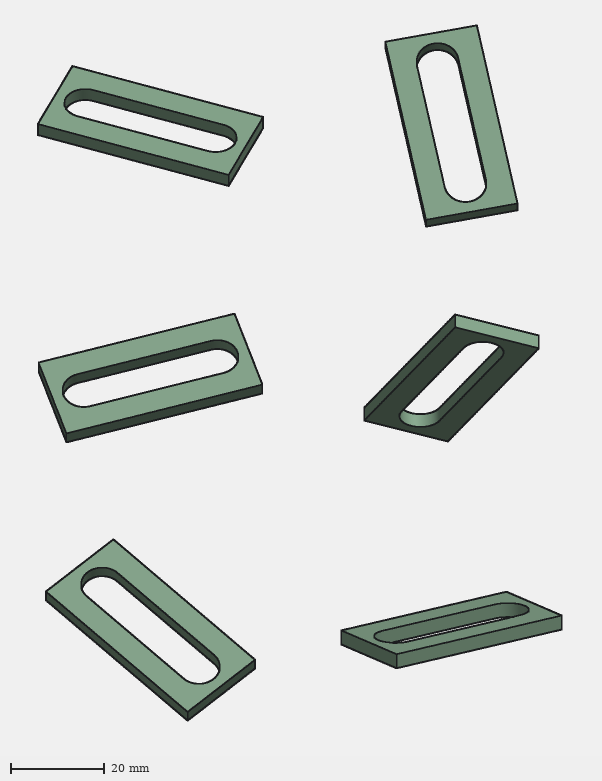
import cadquery as cq

plate_length = 44.0
plate_width = 20.0
plate_thickness = 3.2

slot_width = 9.0
slot_center_distance = 30.0
slot_length = slot_center_distance + slot_width


def make_plate():
    """Flat rectangular plate centred on the origin in X and Y, resting on Z = 0."""
    return cq.Workplane("XY").box(
        plate_length, plate_width, plate_thickness, centered=(True, True, False)
    )


def cut_slot(plate):
    """Cut the round-ended slot along X through the full thickness."""
    return plate.faces(">Z").workplane().slot2D(slot_length, slot_width).cutThruAll()


result = cut_slot(make_plate())